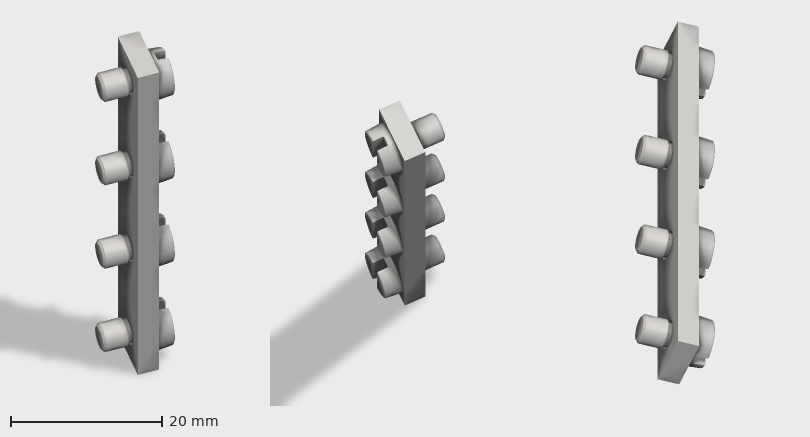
import cadquery as cq
import math

plate_width = 8.0
plate_thickness = 3.0
plate_height = 57.0
plate_front_y = -plate_thickness / 2
plate_back_y = plate_thickness / 2

screw_count = 4
screw_pitch = 16.0
first_screw_z = -(screw_count - 1) * screw_pitch / 2
screw_heights = [first_screw_z + i * screw_pitch for i in range(screw_count)]

thread_diameter = 4.0
thread_radius = thread_diameter / 2
neck_radius = 1.65
thread_chamfer = thread_radius - neck_radius
tip_projection = 4.0
neck_projection = 0.28
head_height = 2.5
head_base_radius = 3.5
head_taper_angle = 5.0
head_edge_radius = 0.2
slot_width = 1.4
slot_depth = 1.6

hole_diameter = thread_diameter


def make_plate():
    """Rectangular plate with one through hole for each screw."""
    plate = cq.Workplane("XY").box(plate_width, plate_thickness, plate_height)
    hole_centres = [(0, z) for z in screw_heights]
    holes = (
        cq.Workplane("XZ", origin=(0, plate_back_y, 0))
        .pushPoints(hole_centres)
        .circle(hole_diameter / 2)
        .extrude(plate_thickness)
    )
    return plate.cut(holes)


def make_screw(z):
    """Slotted cheese-head screw with a thin neck, its axis along Y at height z."""
    tip_y = plate_front_y - tip_projection
    thread_start_y = plate_front_y - neck_projection
    head_top_y = plate_back_y + head_height
    head_top_radius = head_base_radius - head_height * math.tan(math.radians(head_taper_angle))

    body = (
        cq.Workplane("XY")
        .moveTo(0, tip_y)
        .lineTo(thread_radius - thread_chamfer, tip_y)
        .lineTo(thread_radius, tip_y + thread_chamfer)
        .lineTo(thread_radius, thread_start_y - thread_chamfer)
        .lineTo(neck_radius, thread_start_y)
        .lineTo(neck_radius, plate_back_y)
        .lineTo(head_base_radius, plate_back_y)
        .lineTo(head_top_radius, head_top_y)
        .lineTo(0, head_top_y)
        .close()
        .revolve(360, (0, 0, 0), (0, 1, 0))
        .faces(">Y")
        .edges()
        .fillet(head_edge_radius)
    )

    slot = cq.Workplane("XY").box(slot_width, slot_depth, 2 * head_base_radius)
    slot = slot.translate((0, head_top_y - slot_depth / 2, 0))
    return body.cut(slot).translate((0, 0, z))


plate = make_plate()
screws = [make_screw(z) for z in screw_heights]

result = cq.Compound.makeCompound([plate.val(), *[screw.val() for screw in screws]])